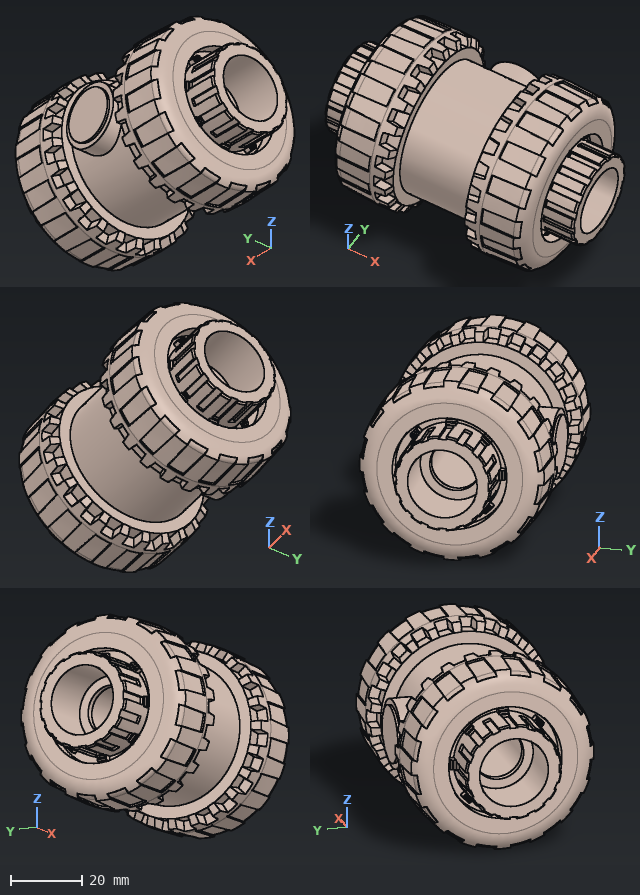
import cadquery as cq


HALF_LENGTH = 41.0
NUT_FACE_X = -32.0
FLANGE_X = -27.9
JOINT_X = -23.0
SHOULDER_X = -12.05

BARREL_DIA = 41.1
JOINT_DIA = 36.8
FLOW_DIA = 14.5
BOSS_DIA = 20.0
BOSS_TOP_Y = 24.0
STEM_DIA = 16.6
STEM_TOP_Y = 24.8
STEM_SEAT_Y = BARREL_DIA / 2

CONNECTOR_RADIUS = 28.0 / 2
SOCKET_DIA = 20.0
SOCKET_DEPTH = 16.0
END_CHAMFER_LENGTH = 0.65
END_CHAMFER_HEIGHT = 0.4
GROOVE_COUNT = 16
GROOVE_WIDTH = 2.2
GROOVE_FLOOR_RADIUS = 13.2
GROOVE_LENGTH = 9.75
TAB_COUNT = 8
TAB_WIDTH = 2.9
TAB_START_X = -30.6
TAB_STEP = 0.47

NUT_DIA = 54.0
NUT_HOLE_DIA = 33.0
NUT_FLAT_RADIUS = 21.0
NUT_ROUND_MID = (-31.0, 24.5)
NUT_ROUND_END = (-29.1, 26.6)
NUT_PEAK = (-18.1, NUT_DIA / 2)
NUT_CHAMFER_START = (-13.2, 26.8)
NOTCH_FLOOR_RADIUS = 24.1

RECESS_COUNT = 16
RECESS_FRONT = (-30.4, 25.25)
RECESS_ROUND_MID = (-29.7, 25.8)
RECESS_ROUND_END = (-28.6, 26.1)
RECESS_BACK = (-18.5, 26.4)
RECESS_FRONT_WIDTH = 5.8
RECESS_BACK_WIDTH = 5.3

NOTCH_COUNT = 23
FIRST_NOTCH_ANGLE = 90.0
NOTCH_RIM_RADIUS = NUT_PEAK[1]
NOTCH_FLOOR_END_X = -16.1
NOTCH_FLOOR_WIDTHS = (3.2, 4.3)
NOTCH_RIM_END_X = -16.7
NOTCH_RIM_WIDTHS = (3.8, 5.0)

CLEARANCE = 0.8


def x_cylinder(diameter, start_x, end_x):
    return cq.Workplane("YZ", origin=(start_x, 0, 0)).circle(diameter / 2).extrude(end_x - start_x)


def y_cylinder(diameter, start_y, end_y):
    return cq.Workplane("XZ", origin=(0, start_y, 0)).circle(diameter / 2).extrude(start_y - end_y)


def revolve_about_x(profile):
    return profile.close().revolve(360, (0, 0, 0), (1, 0, 0))


def ring_of(shape, count, first_angle=0.0):
    """Copies of a shape spaced evenly about X, as one list of solids."""
    step = 360.0 / count
    return [shape.rotate((0, 0, 0), (1, 0, 0), first_angle + i * step).val() for i in range(count)]


def cut_all(body, cutters):
    return body.cut(cq.Workplane(cq.Compound.makeCompound(cutters)))


def other_end(body):
    return body.rotate((0, 0, 0), (0, 0, 1), 180)


def make_housing():
    barrel = x_cylinder(BARREL_DIA, SHOULDER_X, -SHOULDER_X)
    spigots = x_cylinder(JOINT_DIA, JOINT_X, -JOINT_X)
    boss = y_cylinder(BOSS_DIA, 0, BOSS_TOP_Y)
    flow_bore = x_cylinder(FLOW_DIA, JOINT_X, -JOINT_X)
    stem_recess = y_cylinder(STEM_DIA, STEM_SEAT_Y, BOSS_TOP_Y)
    return barrel.union(spigots).union(boss).cut(flow_bore).cut(stem_recess)


def make_stem():
    return y_cylinder(STEM_DIA, STEM_SEAT_Y, STEM_TOP_Y)


def make_groove_cutter():
    """Straight groove along the outside of the connector, open at its end face."""
    height = CONNECTOR_RADIUS + CLEARANCE - GROOVE_FLOOR_RADIUS
    return (
        cq.Workplane("XY")
        .box(GROOVE_LENGTH, GROOVE_WIDTH, height, centered=(False, True, False))
        .translate((-HALF_LENGTH, 0, GROOVE_FLOOR_RADIUS))
    )


def make_tab():
    """Locking tab on the connector with a nose of slope, step and slope."""
    step_x = TAB_START_X + TAB_STEP
    top_x = step_x + TAB_STEP
    step_z = CONNECTOR_RADIUS + TAB_STEP
    top_z = step_z + 2 * TAB_STEP
    nose_to_flange = [
        (TAB_START_X, CONNECTOR_RADIUS),
        (step_x, step_z),
        (step_x, step_z + TAB_STEP),
        (top_x, top_z),
        (FLANGE_X, top_z),
        (FLANGE_X, GROOVE_FLOOR_RADIUS),
        (TAB_START_X, GROOVE_FLOOR_RADIUS),
    ]
    return cq.Workplane("XZ").polyline(nose_to_flange).close().extrude(TAB_WIDTH / 2, both=True)


def make_connector():
    tube = revolve_about_x(
        cq.Workplane("XY")
        .moveTo(-HALF_LENGTH, 0)
        .lineTo(-HALF_LENGTH, CONNECTOR_RADIUS - END_CHAMFER_HEIGHT)
        .lineTo(-HALF_LENGTH + END_CHAMFER_LENGTH, CONNECTOR_RADIUS)
        .lineTo(FLANGE_X, CONNECTOR_RADIUS)
        .lineTo(FLANGE_X, JOINT_DIA / 2)
        .lineTo(JOINT_X, JOINT_DIA / 2)
        .lineTo(JOINT_X, 0)
    )
    connector = cut_all(tube, ring_of(make_groove_cutter(), GROOVE_COUNT))
    for tab in ring_of(make_tab(), TAB_COUNT):
        connector = connector.union(cq.Workplane(tab))
    socket = x_cylinder(SOCKET_DIA, -HALF_LENGTH, -HALF_LENGTH + SOCKET_DEPTH)
    flow_bore = x_cylinder(FLOW_DIA, -HALF_LENGTH, JOINT_X)
    return connector.cut(socket).cut(flow_bore)


def trapezoid(start_x, start_width, end_x, end_width):
    """Corners of a trapezoid that is symmetrical about the X axis."""
    return [
        (start_x, -start_width / 2),
        (end_x, -end_width / 2),
        (end_x, end_width / 2),
        (start_x, start_width / 2),
    ]


def make_recess_cutter():
    """Shallow finger recess that follows the nut's outline and widens towards its outer face."""
    outside_radius = NUT_PEAK[1] + CLEARANCE
    above_floor = revolve_about_x(
        cq.Workplane("XY")
        .moveTo(*RECESS_FRONT)
        .threePointArc(RECESS_ROUND_MID, RECESS_ROUND_END)
        .lineTo(*RECESS_BACK)
        .lineTo(RECESS_BACK[0], outside_radius)
        .lineTo(RECESS_FRONT[0], outside_radius)
    )
    plan = trapezoid(RECESS_FRONT[0], RECESS_FRONT_WIDTH, RECESS_BACK[0], RECESS_BACK_WIDTH)
    wedge = cq.Workplane("XY").polyline(plan).close().extrude(outside_radius)
    return above_floor.intersect(wedge)


def make_notch_cutter():
    """Spanner notch with sloped walls, widening outwards and towards the nut's inner face."""
    floor_end_width, floor_mouth_width = NOTCH_FLOOR_WIDTHS
    rim_end_width, rim_mouth_width = NOTCH_RIM_WIDTHS
    floor = trapezoid(NOTCH_FLOOR_END_X, floor_end_width, SHOULDER_X, floor_mouth_width)
    rim = trapezoid(NOTCH_RIM_END_X, rim_end_width, SHOULDER_X, rim_mouth_width)
    return (
        cq.Workplane("XY", origin=(0, 0, NOTCH_FLOOR_RADIUS))
        .polyline(floor)
        .close()
        .workplane(offset=NOTCH_RIM_RADIUS - NOTCH_FLOOR_RADIUS)
        .polyline(rim)
        .close()
        .loft(ruled=True)
    )


def make_nut():
    blank = revolve_about_x(
        cq.Workplane("XY")
        .moveTo(NUT_FACE_X, 0)
        .lineTo(NUT_FACE_X, NUT_FLAT_RADIUS)
        .threePointArc(NUT_ROUND_MID, NUT_ROUND_END)
        .lineTo(*NUT_PEAK)
        .lineTo(*NUT_CHAMFER_START)
        .lineTo(SHOULDER_X, NOTCH_FLOOR_RADIUS)
        .lineTo(SHOULDER_X, 0)
    )
    lip_hole = x_cylinder(NUT_HOLE_DIA, NUT_FACE_X, FLANGE_X)
    joint_bore = x_cylinder(JOINT_DIA, FLANGE_X, SHOULDER_X)
    nut = blank.cut(lip_hole).cut(joint_bore)
    half_recess_pitch = 180.0 / RECESS_COUNT
    nut = cut_all(nut, ring_of(make_recess_cutter(), RECESS_COUNT, half_recess_pitch))
    return cut_all(nut, ring_of(make_notch_cutter(), NOTCH_COUNT, FIRST_NOTCH_ANGLE))


housing = make_housing()
stem = make_stem()
connector = make_connector()
nut = make_nut()
connectors = [connector, other_end(connector)]
nuts = [nut, other_end(nut)]

result = cq.Compound.makeCompound(
    [housing.val(), stem.val(), *[c.val() for c in connectors], *[n.val() for n in nuts]]
)